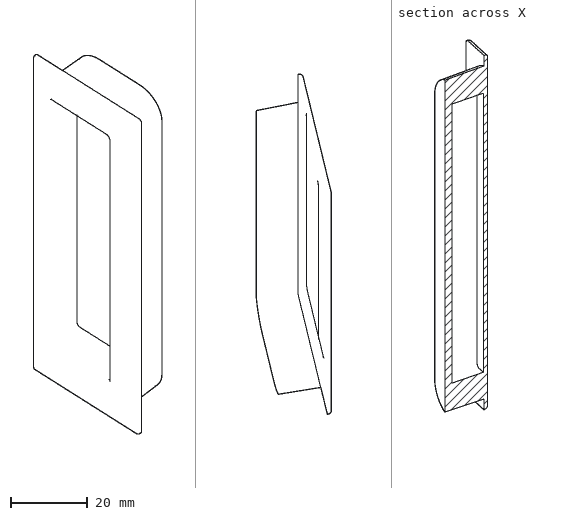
import cadquery as cq

plate_width = 38.0
plate_height = 112.0
plate_thickness = 1.2
edge_radius = 1.0
plate_front_radius = 1.0

total_depth = 13.2
housing_width = 30.6
housing_height = 106.4
housing_corner_radius = 8.0
housing_draft = 0.7

wall = 2.2
opening_width = 21.3
opening_height = 88.0
inner_corner_radius = 1.0

lip_thickness = 1.5
cavity_width = housing_width - 2 * wall
cavity_floor = total_depth - wall
opening_center_x = (opening_width - cavity_width) / 2


def block(width, height, front, back, center_x=0):
    """Upright block reaching from Y = front to Y = back."""
    center_y = (front + back) / 2
    return cq.Workplane("XY").box(width, back - front, height).translate((center_x, center_y, 0))


def make_plate():
    plate = block(plate_width, plate_height, 0, plate_thickness)
    rounded_plate = plate.edges("|Y").fillet(edge_radius)
    return rounded_plate.faces("<Y").edges().fillet(plate_front_radius)


def make_housing():
    housing = (
        cq.Workplane("XZ", origin=(0, plate_thickness, 0))
        .rect(housing_width, housing_height)
        .extrude(plate_thickness - total_depth, taper=housing_draft)
    )
    return housing.edges("not(#Y)").fillet(housing_corner_radius)


def make_cavity():
    cavity = block(cavity_width, opening_height, lip_thickness, cavity_floor)
    return cavity.edges("|Y").fillet(inner_corner_radius)


def make_opening():
    opening = block(opening_width, opening_height, 0, cavity_floor, opening_center_x)
    return opening.edges("|Y").fillet(inner_corner_radius)


def round_opening_rim(body):
    front_face = body.faces("<Y").val()
    rim_edges = front_face.innerWires()[0].Edges()
    return body.newObject(rim_edges).fillet(edge_radius)


body = make_plate().union(make_housing()).cut(make_cavity()).cut(make_opening())
result = round_opening_rim(body)